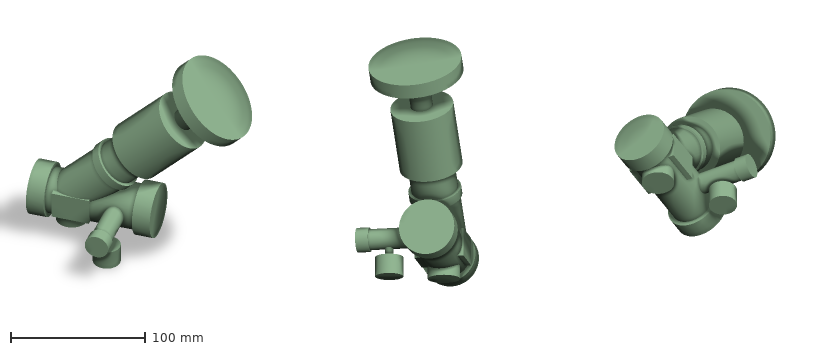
import cadquery as cq
import math


pipe_length = 97.0
pipe_diameter = 35.2
flange_diameter = 42.0
flange_length = 13.9

bonnet_x = 27.9
bonnet_angle = 45
branch_diameter = 36.5
collar_diameter = 39.7
neck_diameter = pipe_diameter
body_diameter = 47.3
stem_diameter = 16.7
wheel_diameter = 70.0
collar_start = 46.3
collar_end = 53.1
body_start = 72.9
body_end = 124.6
wheel_thickness = 11.3
wheel_end = 163.0
wheel_start = wheel_end - wheel_thickness

pad_x = 34.0
pad_length = 29.3
pad_width = 37.2
pad_height = 21.1

boss_x = 29.3
boss_diameter = 24.2
boss_depth = 22.7

port_x = 67.8
port_diameter = 15.7
cap_diameter = 18.5
cap_length = 9.6
port_reach = 58.2

drain_y = -34.0
drain_pin_diameter = 6.6
drain_diameter = 21.0
drain_top_depth = 14.2
drain_bottom_depth = 29.1


def rod(origin, direction, diameter, start, end):
    """Cylinder along a direction, between two distances from the origin."""
    axis = cq.Vector(*direction)
    base = cq.Vector(*origin) + axis * start
    return cq.Workplane(cq.Solid.makeCylinder(diameter / 2, end - start, base, axis))


def main_pipe():
    origin, direction = (0, 0, 0), (1, 0, 0)
    pipe = rod(origin, direction, pipe_diameter, 0, pipe_length)
    for start in (0, pipe_length - flange_length):
        pipe = pipe.union(rod(origin, direction, flange_diameter, start, start + flange_length))
    return pipe


def bonnet():
    origin = (bonnet_x, 0, 0)
    angle = math.radians(bonnet_angle)
    direction = (math.cos(angle), 0, math.sin(angle))
    stages = rod(origin, direction, branch_diameter, 0, collar_start)
    for diameter, start, end in (
        (collar_diameter, collar_start, collar_end),
        (neck_diameter, collar_end, body_start),
        (body_diameter, body_start, body_end),
        (stem_diameter, body_end, wheel_start),
        (wheel_diameter, wheel_start, wheel_end),
    ):
        stages = stages.union(rod(origin, direction, diameter, start, end))
    return stages


def side_pads():
    return cq.Workplane("XY").box(pad_length, pad_width, pad_height).translate((pad_x, 0, 0))


def bottom_boss():
    return rod((boss_x, 0, 0), (0, 0, -1), boss_diameter, 0, boss_depth)


def side_port():
    origin, direction = (port_x, 0, 0), (0, -1, 0)
    port = rod(origin, direction, port_diameter, 0, port_reach)
    return port.union(rod(origin, direction, cap_diameter, port_reach - cap_length, port_reach))


def drain():
    origin, down = (port_x, drain_y, 0), (0, 0, -1)
    pin = rod(origin, down, drain_pin_diameter, 0, drain_top_depth)
    return pin.union(rod(origin, down, drain_diameter, drain_top_depth, drain_bottom_depth))


result = (
    main_pipe()
    .union(bonnet())
    .union(side_pads())
    .union(bottom_boss())
    .union(side_port())
    .union(drain())
)